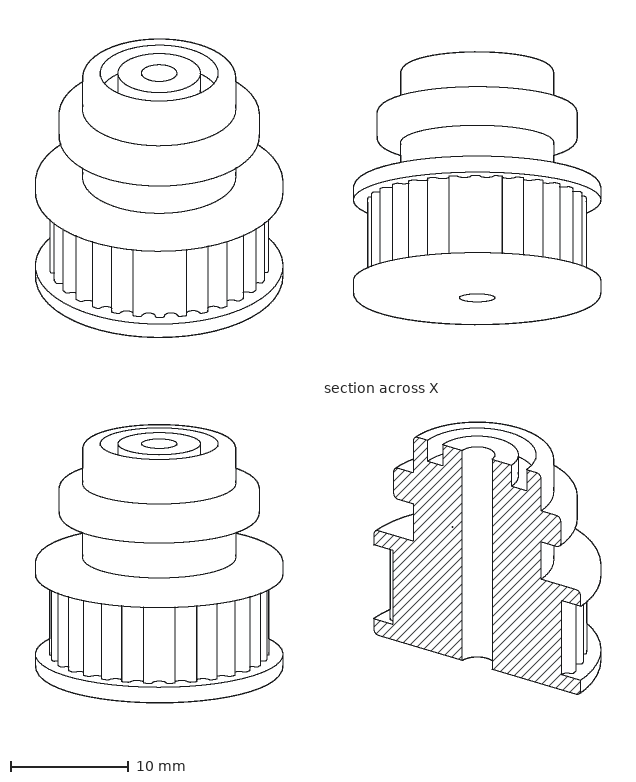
import math

import cadquery as cq

TOOTH_COUNT = 30
BELT_PITCH = 2.0
PITCH_LINE_OFFSET = 0.254
GROOVE_DEPTH = 0.75
BOTTOM_RADIUS = 0.555
FLANK_RADIUS = 1.0
FLANK_CENTRE_OFFSET = 0.4
TIP_RADIUS = 0.15
TIP_CIRCLE_RADIUS = TOOTH_COUNT * BELT_PITCH / (2 * math.pi) - PITCH_LINE_OFFSET
TOOTH_ANGLE = 2 * math.pi / TOOTH_COUNT
FIRST_GROOVE_ANGLE = -math.pi / 2

FLANGE_DIAMETER = 21.0
COLLAR_DIAMETER = 17.0
HUB_DIAMETER = 13.0
RECESS_DIAMETER = 10.0
BOSS_DIAMETER = 7.0
BORE_DIAMETER = 3.0

FLANGE_THICKNESS = 1.5
BELT_WIDTH = 7.0
NECK_HEIGHT = 3.5
COLLAR_HEIGHT = 3.0
TOP_HUB_HEIGHT = 3.5
RECESS_DEPTH = 2.0
UPPER_FLANGE_BOTTOM = FLANGE_THICKNESS + BELT_WIDTH
UPPER_FLANGE_TOP = UPPER_FLANGE_BOTTOM + FLANGE_THICKNESS
COLLAR_BOTTOM = UPPER_FLANGE_TOP + NECK_HEIGHT
TOTAL_HEIGHT = COLLAR_BOTTOM + COLLAR_HEIGHT + TOP_HUB_HEIGHT

EDGE_RADIUS = 0.5


def polar(radius, angle):
    return (radius * math.cos(angle), radius * math.sin(angle))


def point_towards(start, target, distance):
    """Point at a distance from start, in the direction of target."""
    dx = target[0] - start[0]
    dy = target[1] - start[1]
    scale = distance / math.hypot(dx, dy)
    return (start[0] + dx * scale, start[1] + dy * scale)


def disc(diameter, bottom, height):
    return cq.Workplane("XY").workplane(offset=bottom).circle(diameter / 2).extrude(height)


def arc_middle(centre, radius, start, end):
    """Middle of the shorter arc from start to end."""
    chord_middle = ((start[0] + end[0]) / 2, (start[1] + end[1]) / 2)
    return point_towards(centre, chord_middle, radius)


def groove_side(groove_angle, side):
    """One side of a groove (side -1 or +1), from the tip circle down to the groove bottom arc.

    Returns land end, tip arc middle, flank top, flank middle and flank bottom.
    """
    bottom_centre_radius = TIP_CIRCLE_RADIUS - GROOVE_DEPTH + BOTTOM_RADIUS
    bottom_centre = polar(bottom_centre_radius, groove_angle)

    rise = math.sqrt((FLANK_RADIUS - BOTTOM_RADIUS) ** 2 - FLANK_CENTRE_OFFSET**2)
    flank_height = bottom_centre_radius + rise
    flank_centre_radius = math.hypot(flank_height, FLANK_CENTRE_OFFSET)
    flank_lean = math.atan2(FLANK_CENTRE_OFFSET, flank_height)
    flank_centre = polar(flank_centre_radius, groove_angle - side * flank_lean)

    tip_centre_radius = TIP_CIRCLE_RADIUS - TIP_RADIUS
    centre_distance = FLANK_RADIUS + TIP_RADIUS
    flank_to_tip_angle = math.acos(
        (flank_centre_radius**2 + tip_centre_radius**2 - centre_distance**2)
        / (2 * flank_centre_radius * tip_centre_radius)
    )
    tip_angle = groove_angle + side * (flank_to_tip_angle - flank_lean)
    tip_centre = polar(tip_centre_radius, tip_angle)

    land_end = polar(TIP_CIRCLE_RADIUS, tip_angle)
    flank_top = point_towards(tip_centre, flank_centre, TIP_RADIUS)
    flank_bottom = point_towards(flank_centre, bottom_centre, FLANK_RADIUS)
    tip_middle = arc_middle(tip_centre, TIP_RADIUS, land_end, flank_top)
    flank_middle = arc_middle(flank_centre, FLANK_RADIUS, flank_top, flank_bottom)
    return land_end, tip_middle, flank_top, flank_middle, flank_bottom


def toothed_rim():
    """Belt drum: each groove is a chain of tangent arcs, with tip-circle lands between."""
    rim_start = groove_side(FIRST_GROOVE_ANGLE, -1)[0]
    outline = cq.Workplane("XY").workplane(offset=FLANGE_THICKNESS).moveTo(*rim_start)
    for index in range(TOOTH_COUNT):
        angle = FIRST_GROOVE_ANGLE + index * TOOTH_ANGLE
        _, tip_in, flank_in_top, flank_in, flank_in_bottom = groove_side(angle, -1)
        land_start, tip_out, flank_out_top, flank_out, flank_out_bottom = groove_side(angle, 1)
        groove_bottom = polar(TIP_CIRCLE_RADIUS - GROOVE_DEPTH, angle)
        land_middle = polar(TIP_CIRCLE_RADIUS, angle + TOOTH_ANGLE / 2)
        is_last = index == TOOTH_COUNT - 1
        land_end = rim_start if is_last else groove_side(angle + TOOTH_ANGLE, -1)[0]
        outline = (
            outline.threePointArc(tip_in, flank_in_top)
            .threePointArc(flank_in, flank_in_bottom)
            .threePointArc(groove_bottom, flank_out_bottom)
            .threePointArc(flank_out, flank_out_top)
            .threePointArc(tip_out, land_start)
            .threePointArc(land_middle, land_end)
        )
    return outline.close().extrude(BELT_WIDTH)


def flanges():
    """Two belt flanges, each rounded on the edge facing away from the belt."""
    lower = disc(FLANGE_DIAMETER, 0, FLANGE_THICKNESS).faces("<Z").edges().fillet(EDGE_RADIUS)
    upper = disc(FLANGE_DIAMETER, UPPER_FLANGE_BOTTOM, FLANGE_THICKNESS)
    upper = upper.faces(">Z").edges().fillet(EDGE_RADIUS)
    return lower, upper


def hub():
    """Hub above the upper flange, rounded at its top edge."""
    body = disc(HUB_DIAMETER, UPPER_FLANGE_TOP, TOTAL_HEIGHT - UPPER_FLANGE_TOP)
    return body.faces(">Z").edges().fillet(EDGE_RADIUS)


def collar():
    """Ring around the hub, rounded at both outer edges."""
    return disc(COLLAR_DIAMETER, COLLAR_BOTTOM, COLLAR_HEIGHT).edges("%CIRCLE").fillet(EDGE_RADIUS)


def top_recess():
    """Ring-shaped recess that leaves the central boss flush with the top."""
    floor = TOTAL_HEIGHT - RECESS_DEPTH
    ring = disc(RECESS_DIAMETER, floor, RECESS_DEPTH)
    return ring.cut(disc(BOSS_DIAMETER, floor, RECESS_DEPTH))


lower_flange, upper_flange = flanges()
pulley = toothed_rim().union(lower_flange).union(upper_flange).union(hub()).union(collar())
pulley = pulley.cut(top_recess())
result = pulley.cut(disc(BORE_DIAMETER, 0, TOTAL_HEIGHT))